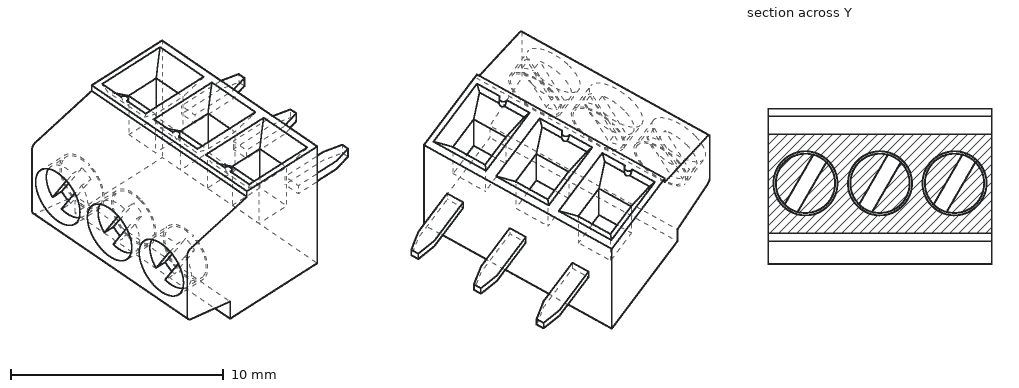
import cadquery as cq
import math


pole_count = 3
width = 10.5
pitch = width / pole_count
height = 7.3
total_length = 12
pin_length = 3.5
body_length = total_length - pin_length
top_step_y = 3.9
top_step_drop = 0.35
upper_slope = math.radians(15)
foot_y = 2.8
foot_height = 1.08
lower_slope = math.radians(10)
nose_radius = 0.3

axis_z = 3.79
hole_diameter = 3
screw_diameter = 2.8
screw_recess = 0.6
slot_width = 0.7
slot_angle = 60
slot_depth = 0.6
head_height = 0.96

pin_width = 0.9
pin_thickness = 0.5
pin_tip_width = 0.4
pin_tip_length = 1.0

rear_wall = 0.4
front_wall = 0.42
entry_width = 2.94
shaft_side = 1.8
shaft_front_y = 5.5
funnel_depth = 1.09
rear_bend_depth = 0.36
rear_bend_inset = 0.28
lip_depth = 0.42
lip_inset = 0.13
entry_depth = height - axis_z
rib_diameter = 0.4

pole_xs = [(i - (pole_count - 1) / 2) * pitch for i in range(pole_count)]


def extrude_along_x(points, length):
    """Prism from a closed (y, z) outline, centred on X = 0."""
    return cq.Workplane("YZ").polyline(points).close().extrude(length / 2, both=True)


def make_housing():
    shoulder_z = height - top_step_drop
    outline = [
        (body_length, 0),
        (body_length, height),
        (top_step_y, height),
        (top_step_y, shoulder_z),
        (0, shoulder_z - top_step_y * math.tan(upper_slope)),
        (0, foot_height + foot_y * math.tan(lower_slope)),
        (foot_y, foot_height),
        (foot_y, 0),
    ]
    return extrude_along_x(outline, width).faces("<Y").edges("|X").fillet(nose_radius)


def make_wire_entry():
    """Funnel over a square shaft, with a narrow rib left standing on the front wall."""
    front_y = top_step_y + front_wall
    rear_y = body_length - rear_wall
    shaft_rear_y = shaft_front_y + shaft_side
    floor_z = height - entry_depth
    funnel_z = height - funnel_depth
    side_outline = [
        (front_y, height),
        (front_y + lip_inset, height - lip_depth),
        (shaft_front_y, funnel_z),
        (shaft_front_y, floor_z),
        (shaft_rear_y, floor_z),
        (shaft_rear_y, funnel_z),
        (rear_y - rear_bend_inset, height - rear_bend_depth),
        (rear_y, height),
    ]
    front_outline = [
        (-entry_width / 2, height),
        (-shaft_side / 2, funnel_z),
        (-shaft_side / 2, floor_z),
        (shaft_side / 2, floor_z),
        (shaft_side / 2, funnel_z),
        (entry_width / 2, height),
    ]
    across = cq.Workplane("XZ").polyline(front_outline).close().extrude(-body_length)
    rib = (
        cq.Workplane("XY", origin=(0, front_y, floor_z))
        .circle(rib_diameter / 2)
        .extrude(entry_depth)
    )
    return extrude_along_x(side_outline, entry_width).intersect(across).cut(rib)


def make_screw_recess():
    """Round hole around a recessed screw head that carries a slanted driver slot."""
    hole_depth = screw_recess + head_height
    front = cq.Workplane("XZ", origin=(0, 0, axis_z))
    head_face = cq.Workplane("XZ", origin=(0, screw_recess, axis_z))
    hole = front.circle(hole_diameter / 2).extrude(-hole_depth)
    head = head_face.circle(screw_diameter / 2).extrude(-head_height)
    slot = (
        head_face.transformed(rotate=(0, 0, slot_angle))
        .rect(hole_diameter, slot_width)
        .extrude(-slot_depth)
    )
    return hole.cut(head.cut(slot))


def make_pin():
    """Flat solder pin with a tapered tip."""
    taper_y = total_length - pin_tip_length
    outline = [
        (-pin_width / 2, body_length),
        (-pin_width / 2, taper_y),
        (-pin_tip_width / 2, total_length),
        (pin_tip_width / 2, total_length),
        (pin_width / 2, taper_y),
        (pin_width / 2, body_length),
    ]
    plane = cq.Workplane("XY", origin=(0, 0, axis_z))
    return plane.polyline(outline).close().extrude(pin_thickness / 2, both=True)


result = make_housing()
wire_entry = make_wire_entry()
screw_recess_cut = make_screw_recess()
pin = make_pin()
for x in pole_xs:
    result = result.cut(wire_entry.translate((x, 0, 0)))
    result = result.cut(screw_recess_cut.translate((x, 0, 0)))
    result = result.union(pin.translate((x, 0, 0)))